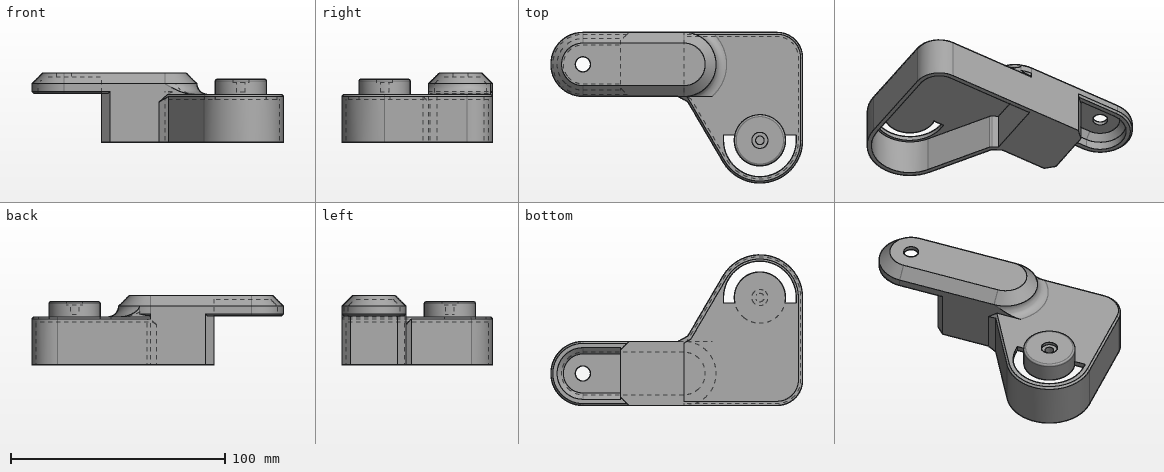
import cadquery as cq
import math


total_height = 32.5
housing_height = 22.5
boss_top = 29.5
arm_underside = 23.0

arm_width = 30.0
arm_radius = arm_width / 2
arm_length = 47.2
arm_top_chamfer = 5.1
small_chamfer = 1.0
hanging_hole_diameter = 7.0
arm_skin = 2.0
arm_wall = 3.0
pocket_radius = arm_radius - arm_wall
shoulder_height = total_height - arm_top_chamfer

block_left = 17.5
block_corner_chamfer = 4.0

overall_length = 117.7
overall_width = 70.5
hub_radius = 20.0
housing_right = overall_length - arm_radius
housing_corner_radius = 12.0
hub_x = housing_right - hub_radius
hub_y = arm_radius + hub_radius - overall_width
housing_wall = 2.0
top_plate = 2.5
ceiling = housing_height - top_plate

facet_depth = 2.5
facet_start = (44.4, -arm_radius)
facet_end = (49.0, -arm_radius - facet_depth)

boss_diameter = 24.0
boss_rim_radius = 1.0
screw_head_diameter = 7.5
screw_head_depth = 1.5
screw_hole_diameter = 4.0
screw_hole_depth = 5.9

window_radius = 17.0
window_edge_offset = 2.5


def make_arm():
    """Round-ended bar with a wide bevel on top and a narrow one below."""
    bar = (
        cq.Workplane("XY", origin=(arm_length / 2, 0, arm_underside))
        .slot2D(arm_length + 2 * arm_radius, 2 * arm_radius)
        .extrude(total_height - arm_underside)
    )
    return bar.faces(">Z").chamfer(arm_top_chamfer).faces("<Z").chamfer(small_chamfer)


def make_arm_pocket():
    """Bevelled hollow under the free end of the arm, ending at the block."""
    pocket = (
        cq.Workplane("XY", origin=(arm_length / 2, 0, 0))
        .slot2D(arm_length + 2 * pocket_radius, 2 * pocket_radius)
        .extrude(total_height - arm_skin)
        .faces(">Z")
        .chamfer(arm_wall)
    )
    free_end = cq.Workplane("XY", origin=(-arm_radius, -arm_radius, 0)).box(
        arm_radius + block_left, 2 * arm_radius, total_height, centered=False
    )
    return pocket.intersect(free_end)


def make_block():
    """Upright block under the arm with its two outer corners cut off."""
    return (
        cq.Workplane("XY", origin=(block_left, -arm_radius, 0))
        .box(arm_length - block_left, 2 * arm_radius, shoulder_height, centered=False)
        .edges("|Z and <X")
        .chamfer(block_corner_chamfer)
    )


def make_flare():
    """Concave fillet that runs the arm's inner end out onto the housing."""
    fillet_radius = shoulder_height - housing_height
    outer_radius = arm_radius + fillet_radius
    mid_offset = fillet_radius * (1 - math.sqrt(0.5))
    flare = (
        cq.Workplane("XZ", origin=(arm_length, 0, 0))
        .moveTo(0, ceiling)
        .lineTo(outer_radius, ceiling)
        .lineTo(outer_radius, housing_height)
        .threePointArc(
            (arm_radius + mid_offset, housing_height + mid_offset),
            (arm_radius, shoulder_height),
        )
        .lineTo(0, shoulder_height)
        .close()
        .revolve(360, (0, 0, 0), (0, 1, 0))
    )
    inner_end = cq.Workplane("XY", origin=(arm_length, -arm_radius, 0)).box(
        outer_radius, 2 * arm_radius - small_chamfer, total_height, centered=False
    )
    return flare.intersect(inner_end)


def tangent_point():
    """Point where the sloping wall, drawn from the facet, touches the hub circle."""
    dx = facet_end[0] - hub_x
    dy = facet_end[1] - hub_y
    angle = math.atan2(dy, dx) + math.acos(hub_radius / math.hypot(dx, dy))
    return (hub_x + hub_radius * math.cos(angle), hub_y + hub_radius * math.sin(angle))


def housing_outline():
    """Outline with the round hub, the sloping wall and the rounded far corner."""
    corner_x = housing_right - housing_corner_radius
    corner_y = arm_radius - housing_corner_radius
    diagonal = housing_corner_radius * math.sqrt(0.5)
    return (
        cq.Workplane("XY")
        .moveTo(facet_start[0], arm_radius)
        .lineTo(*facet_start)
        .lineTo(*facet_end)
        .lineTo(*tangent_point())
        .threePointArc((hub_x, hub_y - hub_radius), (housing_right, hub_y))
        .lineTo(housing_right, corner_y)
        .threePointArc(
            (corner_x + diagonal, corner_y + diagonal), (corner_x, arm_radius)
        )
        .close()
    )


def make_facet_cut():
    """Block above the sloping wall's rim bevel that carries the bevel over the facet."""
    rim_point = cq.Vector(*facet_end, housing_height - small_chamfer)
    along_wall = cq.Vector(*tangent_point()) - cq.Vector(*facet_end)
    outward = along_wall.cross(cq.Vector(0, 0, 1)).normalized()
    bevel_plane = cq.Plane(rim_point, along_wall, outward + cq.Vector(0, 0, 1))
    return (
        cq.Workplane(bevel_plane)
        .rect(2 * along_wall.Length, hub_radius)
        .extrude(hub_radius)
    )


def make_housing():
    """Housing with a bevelled rim."""
    housing = housing_outline().extrude(housing_height)
    rim = (
        housing.faces(">Z")
        .edges()
        .filter(lambda edge: edge.Center().x > facet_end[0])
    )
    return rim.chamfer(small_chamfer).cut(make_facet_cut())


def make_cavity():
    """Space inside the housing, open at the bottom."""
    inside = housing_outline().offset2D(-housing_wall).extrude(ceiling)
    beside_block = cq.Workplane("XY", origin=(arm_length, -overall_width, 0)).box(
        overall_length, 2 * overall_width, ceiling, centered=False
    )
    return inside.intersect(beside_block)


def make_window():
    """Round-ended opening through the top plate around the boss."""
    return (
        cq.Workplane("XY", origin=(hub_x, hub_y, 0))
        .moveTo(-window_radius, window_edge_offset)
        .lineTo(-window_radius, 0)
        .threePointArc((0, -window_radius), (window_radius, 0))
        .lineTo(window_radius, window_edge_offset)
        .close()
        .extrude(housing_height)
    )


def make_boss():
    """Round boss with a counterbored screw hole."""
    return (
        cq.Workplane("XY", origin=(hub_x, hub_y, ceiling))
        .circle(boss_diameter / 2)
        .extrude(boss_top - ceiling)
        .faces(">Z")
        .fillet(boss_rim_radius)
        .faces(">Z")
        .workplane()
        .cboreHole(
            screw_hole_diameter, screw_head_diameter, screw_head_depth, screw_hole_depth
        )
    )


hanging_hole = cq.Workplane("XY").circle(hanging_hole_diameter / 2).extrude(total_height)

result = (
    make_housing()
    .cut(make_cavity())
    .cut(make_window())
    .union(make_block())
    .union(make_flare())
    .union(make_arm())
    .union(make_boss())
    .cut(make_arm_pocket())
    .cut(hanging_hole)
)